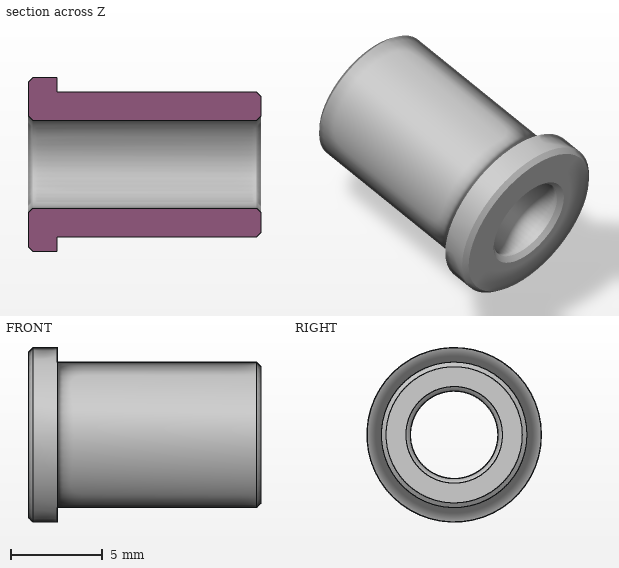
import cadquery as cq

length = 12.71
flange_diameter = 9.53
flange_thickness = 1.59
body_diameter = 7.95
bore_diameter = 4.77
chamfer = 0.25

flange = (
    cq.Workplane("YZ")
    .circle(flange_diameter / 2)
    .extrude(flange_thickness)
    .faces("<X")
    .chamfer(chamfer)
)

body = (
    cq.Workplane("YZ")
    .circle(body_diameter / 2)
    .extrude(length)
    .faces(">X")
    .chamfer(chamfer)
)

bore = cq.Workplane("YZ").circle(bore_diameter / 2).extrude(length)
bushing = flange.union(body).cut(bore)

for end_face in ("<X", ">X"):
    bushing = bushing.faces(end_face).edges(cq.selectors.RadiusNthSelector(0)).chamfer(chamfer)

result = bushing